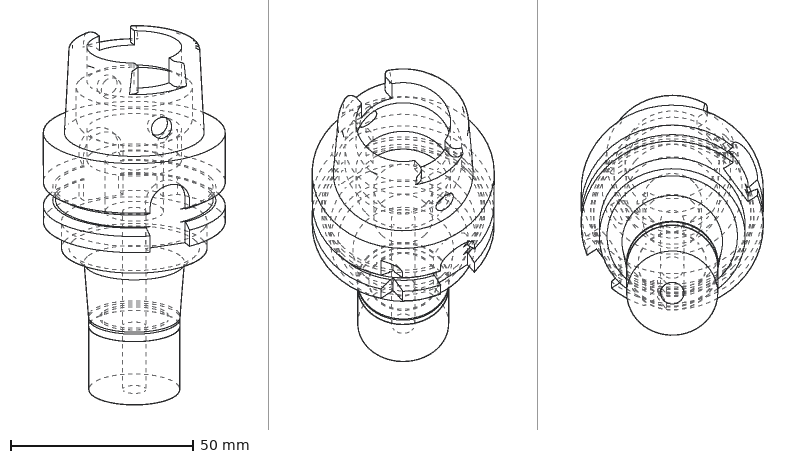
import cadquery as cq
import math

TOTAL_HEIGHT = 100.0
TAPER_LENGTH = 25.0
FLANGE_LENGTH = 26.0
SHOULDER_LENGTH = 7.8
NECK_CONE_HEIGHT = 4.2
HEAD_HEIGHT = 18.5
COLLAR_HEIGHT = 2.2
RELIEF_GAP = 0.6

FLANGE_TOP = TOTAL_HEIGHT - TAPER_LENGTH
FLANGE_BOTTOM = FLANGE_TOP - FLANGE_LENGTH
SHOULDER_BOTTOM = FLANGE_BOTTOM - SHOULDER_LENGTH
NECK_TOP = SHOULDER_BOTTOM - NECK_CONE_HEIGHT
COLLAR_TOP = HEAD_HEIGHT + COLLAR_HEIGHT
NECK_BOTTOM = COLLAR_TOP + RELIEF_GAP

FLANGE_RADIUS = 25.0
SHOULDER_RADIUS = 20.0
SHOULDER_CONE_RADIUS = 17.9
NECK_TOP_RADIUS = 13.8
HEAD_RADIUS = 12.5
NOSE_RADIUS = 12.6
RELIEF_RADIUS = 9.4
TAPER_BASE_RADIUS = 19.2
TAPER_RATIO = 0.05
TAPER_TOP_RADIUS = TAPER_BASE_RADIUS - TAPER_RATIO * TAPER_LENGTH
TAPER_RIM_FILLET = 1.0

GROOVE_DEPTH_BELOW_FACE = 17.9
GROOVE_CENTRE = FLANGE_TOP - GROOVE_DEPTH_BELOW_FACE
GROOVE_FLOOR_WIDTH = 3.8
GROOVE_FLOOR_RADIUS = 21.6
GROOVE_LIP_RADIUS = 22.4
GROOVE_SIDE_ANGLE = 30.0
GROOVE_SIDE_HEIGHT = (FLANGE_RADIUS - GROOVE_LIP_RADIUS) * math.tan(math.radians(GROOVE_SIDE_ANGLE))
GROOVE_FLOOR_TOP = GROOVE_CENTRE + GROOVE_FLOOR_WIDTH / 2
GROOVE_FLOOR_BOTTOM = GROOVE_CENTRE - GROOVE_FLOOR_WIDTH / 2

MOUTH_RADIUS = 13.0
MOUTH_BORE_DEPTH = 33.0
CHAMBER_RADIUS = 16.0
CHAMBER_START = 10.0
CHAMBER_WALL_END = 20.3
CHAMBER_TOP_ANGLE = 30.0
CHAMBER_FLOOR_RADIUS = 4.0
TUBE_BORE_RADIUS = 8.0
TUBE_BORE_DEPTH = 15.0
COOLANT_RADIUS = 3.2
ACCESS_HOLE_RADIUS = 3.0
ACCESS_HOLE_ABOVE_FACE = 7.6
ACCESS_HOLE_HEIGHT = FLANGE_TOP + ACCESS_HOLE_ABOVE_FACE

KEYWAY_WIDTH = 10.5
KEYWAY_FLAT_DISTANCE = 16.2
KEYWAY_CORNER_RADIUS = 2.0
KEYWAY_DEPTHS = {-1: 4.2, 1: 7.3}

SLOT_WIDTH = 11.8
SLOT_TOP_BELOW_FACE = 6.9
SLOT_TOP = FLANGE_TOP - SLOT_TOP_BELOW_FACE
SLOT_FLOOR_DISTANCE = 21.1
NOTCH_OFFSET = 15.4


def holder_profile():
    """Half outline of the holder without its bores, to be revolved about Z."""
    return (
        cq.Workplane("XZ")
        .moveTo(0, HEAD_HEIGHT)
        .lineTo(NOSE_RADIUS, HEAD_HEIGHT)
        .lineTo(NOSE_RADIUS, COLLAR_TOP)
        .lineTo(RELIEF_RADIUS, COLLAR_TOP)
        .lineTo(RELIEF_RADIUS, NECK_BOTTOM)
        .lineTo(NOSE_RADIUS, NECK_BOTTOM)
        .lineTo(NECK_TOP_RADIUS, NECK_TOP)
        .lineTo(SHOULDER_CONE_RADIUS, SHOULDER_BOTTOM)
        .lineTo(SHOULDER_RADIUS, SHOULDER_BOTTOM)
        .lineTo(SHOULDER_RADIUS, FLANGE_BOTTOM)
        .lineTo(FLANGE_RADIUS, FLANGE_BOTTOM)
        .lineTo(FLANGE_RADIUS, GROOVE_FLOOR_BOTTOM - GROOVE_SIDE_HEIGHT)
        .lineTo(GROOVE_LIP_RADIUS, GROOVE_FLOOR_BOTTOM)
        .lineTo(GROOVE_FLOOR_RADIUS, GROOVE_FLOOR_BOTTOM)
        .lineTo(GROOVE_FLOOR_RADIUS, GROOVE_FLOOR_TOP)
        .lineTo(GROOVE_LIP_RADIUS, GROOVE_FLOOR_TOP)
        .lineTo(FLANGE_RADIUS, GROOVE_FLOOR_TOP + GROOVE_SIDE_HEIGHT)
        .lineTo(FLANGE_RADIUS, FLANGE_TOP)
        .lineTo(TAPER_BASE_RADIUS, FLANGE_TOP)
        .lineTo(TAPER_TOP_RADIUS, TOTAL_HEIGHT)
        .lineTo(0, TOTAL_HEIGHT)
        .close()
    )


def holder_bores():
    """Mouth bore, clamping undercut, coolant tube bore and coolant hole as one solid."""
    undercut = CHAMBER_RADIUS - MOUTH_RADIUS
    chamber_start = TOTAL_HEIGHT - CHAMBER_START
    wall_top = chamber_start - undercut * math.tan(math.radians(CHAMBER_TOP_ANGLE))
    wall_bottom = TOTAL_HEIGHT - CHAMBER_WALL_END
    mouth_bottom = TOTAL_HEIGHT - MOUTH_BORE_DEPTH
    tube_bottom = mouth_bottom - TUBE_BORE_DEPTH

    arc_centre = CHAMBER_RADIUS - CHAMBER_FLOOR_RADIUS
    arc_angle = math.acos((MOUTH_RADIUS - arc_centre) / CHAMBER_FLOOR_RADIUS)

    def arc_point(angle):
        return (arc_centre + CHAMBER_FLOOR_RADIUS * math.cos(angle),
                wall_bottom - CHAMBER_FLOOR_RADIUS * math.sin(angle))

    return (
        cq.Workplane("XZ")
        .moveTo(0, TOTAL_HEIGHT)
        .lineTo(MOUTH_RADIUS, TOTAL_HEIGHT)
        .lineTo(MOUTH_RADIUS, chamber_start)
        .lineTo(CHAMBER_RADIUS, wall_top)
        .lineTo(CHAMBER_RADIUS, wall_bottom)
        .threePointArc(arc_point(arc_angle / 2), arc_point(arc_angle))
        .lineTo(MOUTH_RADIUS, mouth_bottom)
        .lineTo(TUBE_BORE_RADIUS, mouth_bottom)
        .lineTo(TUBE_BORE_RADIUS, tube_bottom)
        .lineTo(COOLANT_RADIUS, tube_bottom)
        .lineTo(COOLANT_RADIUS, HEAD_HEIGHT)
        .lineTo(0, HEAD_HEIGHT)
        .close()
        .revolve(360, (0, 0, 0), (0, 1, 0))
    )


def keyway_cutter(side):
    """Keyway on one X side: a slot that flares through rounded corners to a flat."""
    half_width = KEYWAY_WIDTH / 2
    corner = KEYWAY_CORNER_RADIUS
    flat = KEYWAY_FLAT_DISTANCE
    corner_mid = corner * (1 - math.sqrt(0.5))
    bottom = TOTAL_HEIGHT - KEYWAY_DEPTHS[side]
    return (
        cq.Workplane("XY", origin=(0, 0, bottom))
        .moveTo(0, -half_width)
        .lineTo(side * (flat - corner), -half_width)
        .threePointArc((side * (flat - corner_mid), -half_width - corner_mid),
                       (side * flat, -half_width - corner))
        .lineTo(side * flat, -FLANGE_RADIUS)
        .lineTo(side * FLANGE_RADIUS, -FLANGE_RADIUS)
        .lineTo(side * FLANGE_RADIUS, FLANGE_RADIUS)
        .lineTo(side * flat, FLANGE_RADIUS)
        .lineTo(side * flat, half_width + corner)
        .threePointArc((side * (flat - corner_mid), half_width + corner_mid),
                       (side * (flat - corner), half_width))
        .lineTo(0, half_width)
        .close()
        .extrude(TOTAL_HEIGHT - bottom)
    )


def flange_slot_cutter(side, floor_distance, centre_y):
    """Round-topped slot cut from one X side down to a flat floor, open at the flange bottom."""
    radius = SLOT_WIDTH / 2
    arc_height = SLOT_TOP - radius
    return (
        cq.Workplane("YZ", origin=(side * floor_distance, 0, 0))
        .moveTo(centre_y - radius, FLANGE_BOTTOM)
        .lineTo(centre_y - radius, arc_height)
        .threePointArc((centre_y, SLOT_TOP), (centre_y + radius, arc_height))
        .lineTo(centre_y + radius, FLANGE_BOTTOM)
        .close()
        .extrude(side * FLANGE_RADIUS)
    )


def make_holder():
    """Hollow taper shank holder with flange, neck, relief groove and end collar."""
    body = holder_profile().revolve(360, (0, 0, 0), (0, 1, 0))
    body = body.faces(">Z").edges().fillet(TAPER_RIM_FILLET)
    body = body.cut(holder_bores())

    access_hole = (
        cq.Workplane("YZ")
        .center(0, ACCESS_HOLE_HEIGHT)
        .circle(ACCESS_HOLE_RADIUS)
        .extrude(FLANGE_RADIUS, both=True)
    )
    body = body.cut(access_hole)

    for side in (-1, 1):
        body = body.cut(keyway_cutter(side))
        body = body.cut(flange_slot_cutter(side, SLOT_FLOOR_DISTANCE, 0))

    notch_centre = NOTCH_OFFSET + SLOT_WIDTH / 2
    return body.cut(flange_slot_cutter(-1, NOTCH_OFFSET, notch_centre))


def make_head():
    """Cylindrical head below the holder, pierced by the coolant hole."""
    return (
        cq.Workplane("XY")
        .circle(HEAD_RADIUS)
        .circle(COOLANT_RADIUS)
        .extrude(HEAD_HEIGHT)
    )


holder = make_holder()
head = make_head()
result = cq.Compound.makeCompound([holder.val(), head.val()])